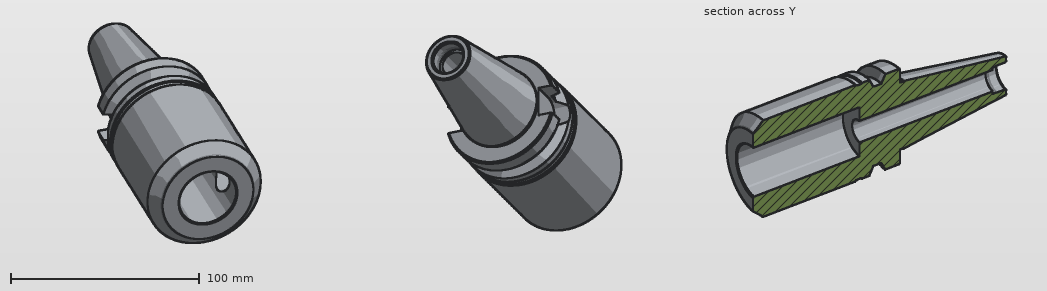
import cadquery as cq

total_length = 160.6

taper_length = 65.2
taper_slope = 7 / 24
gauge_diameter = 44.7
tail_diameter = gauge_diameter - taper_length * taper_slope
tail_chamfer = 0.6
neck_diameter = 44.0
neck_start = 65.9

flange_start = 67.3
flange_diameter = 62.8
flange_chamfer = 0.8
groove_start = 76.8
groove_floor_start = 79.4
groove_floor_end = 84.2
groove_end = 86.8
collar_diameter = 63.0
groove_diameter = 52.2

body_diameter = 63.5
relief_start = 91.5
relief_diameter = 62.0
relief_start_ramp = 0.5
relief_end = 95.1
body_start = 95.9
nose_start = 154.2
nose_diameter = 52.0
nose_edge_chamfer = 0.6

slot_width = 16.0
slot_end = 88.2
slot_floor = 22.5

through_diameter = 13.8
tail_mouth_diameter = 19.0
tail_bore_diameter = 17.4
tail_mouth_chamfer = (tail_mouth_diameter - tail_bore_diameter) / 2
tail_bore_depth = 6.0
inner_bore_diameter = 17.0
inner_bore_start = 6.7
inner_bore_end = 8.7
tool_bore_diameter = 31.8
tool_bore_start = 93.2
tool_mouth_diameter = 33.0
tool_mouth_chamfer = (tool_mouth_diameter - tool_bore_diameter) / 2

screw_diameter = 20.1
screw_positions = (116.8, 139.1)


def revolve_profile(stations):
    """Solid of revolution about X from (position, diameter) stations."""
    outline = [(x, diameter / 2) for x, diameter in stations]
    axis_ends = [(stations[-1][0], 0), (stations[0][0], 0)]
    profile = cq.Workplane("XY").polyline(outline + axis_ends).close()
    return profile.revolve(360, (0, 0, 0), (1, 0, 0))


def holder_blank():
    return revolve_profile([
        (0, tail_diameter - 2 * tail_chamfer),
        (tail_chamfer, tail_diameter + tail_chamfer * taper_slope),
        (taper_length, gauge_diameter),
        (neck_start, neck_diameter),
        (flange_start, neck_diameter),
        (flange_start, flange_diameter - 2 * flange_chamfer),
        (flange_start + flange_chamfer, flange_diameter),
        (groove_start, flange_diameter),
        (groove_floor_start, groove_diameter),
        (groove_floor_end, groove_diameter),
        (groove_end, collar_diameter),
        (relief_start, collar_diameter),
        (relief_start + relief_start_ramp, relief_diameter),
        (relief_end, relief_diameter),
        (body_start, body_diameter),
        (nose_start, body_diameter),
        (total_length - nose_edge_chamfer, nose_diameter),
        (total_length, nose_diameter - 2 * nose_edge_chamfer),
    ])


def axial_bores():
    return revolve_profile([
        (0, tail_mouth_diameter),
        (tail_mouth_chamfer, tail_bore_diameter),
        (tail_bore_depth, tail_bore_diameter),
        (inner_bore_start, inner_bore_diameter),
        (inner_bore_end, inner_bore_diameter),
        (inner_bore_end, through_diameter),
        (tool_bore_start, through_diameter),
        (tool_bore_start, tool_bore_diameter),
        (total_length - tool_mouth_chamfer, tool_bore_diameter),
        (total_length, tool_mouth_diameter),
    ])


def drive_slot(side):
    """Round-ended slot cutter on the +Y (side = 1) or -Y (side = -1) flank."""
    arc_center = slot_end - slot_width / 2
    straight_length = arc_center - flange_start
    depth = body_diameter / 2 - slot_floor
    middle_y = side * (slot_floor + depth / 2)
    straight = cq.Workplane("XY").box(straight_length, depth, slot_width)
    straight = straight.translate((flange_start + straight_length / 2, middle_y, 0))
    round_end = cq.Workplane("XZ").circle(slot_width / 2).extrude(depth / 2, both=True)
    return straight.union(round_end.translate((arc_center, middle_y, 0)))


def screw_hole(position):
    """Radial cutter from the axis out through the +Y wall."""
    start = cq.Workplane("XZ").center(position, 0)
    return start.circle(screw_diameter / 2).extrude(-body_diameter)


result = holder_blank().cut(axial_bores())
for side in (1, -1):
    result = result.cut(drive_slot(side))
for position in screw_positions:
    result = result.cut(screw_hole(position))